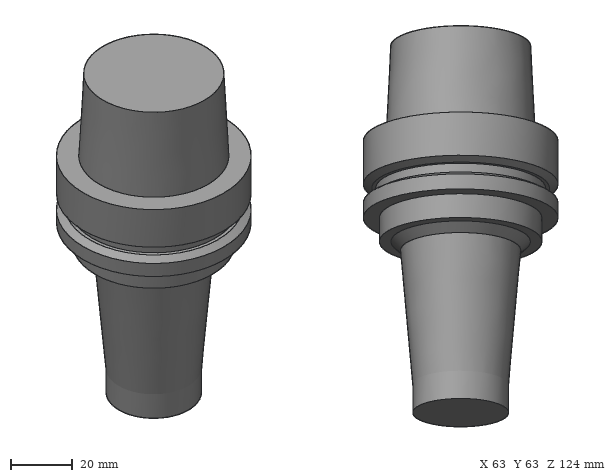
import cadquery as cq

total_height = 124.0
flange_diameter = 63.0

shank_length = 32.0
shank_top_diameter = 45.4
shank_base_diameter = 48.6

flange_height = 26.0
upper_rim_height = 14.6
lower_rim_height = 5.1
groove_diameter = 55.0
bevel_height = 1.5
bevel_depth = 2.7

collar_diameter = 52.6
collar_height = 8.0

shoulder_height = 3.0
shoulder_diameter = 45.1
nose_diameter = 38.9
tip_diameter = 31.0
tip_height = 9.3

flange_top = total_height - shank_length
flange_bottom = flange_top - flange_height
groove_top = flange_top - upper_rim_height - bevel_height
groove_bottom = flange_bottom + lower_rim_height + bevel_height
collar_bottom = flange_bottom - collar_height
nose_top = collar_bottom - shoulder_height
bevel_diameter = flange_diameter - 2 * bevel_depth

outline = [
    (tip_diameter, 0),
    (tip_diameter, tip_height),
    (nose_diameter, nose_top),
    (shoulder_diameter, collar_bottom),
    (collar_diameter, collar_bottom),
    (collar_diameter, flange_bottom),
    (flange_diameter, flange_bottom),
    (flange_diameter, flange_bottom + lower_rim_height),
    (bevel_diameter, groove_bottom),
    (groove_diameter, groove_bottom),
    (groove_diameter, groove_top),
    (bevel_diameter, groove_top),
    (flange_diameter, flange_top - upper_rim_height),
    (flange_diameter, flange_top),
    (shank_base_diameter, flange_top),
    (shank_top_diameter, total_height),
]

half_outline = [(diameter / 2, height) for diameter, height in outline]
result = (
    cq.Workplane("XZ")
    .polyline([(0, 0)] + half_outline + [(0, total_height)])
    .close()
    .revolve(360, (0, 0, 0), (0, 1, 0))
)